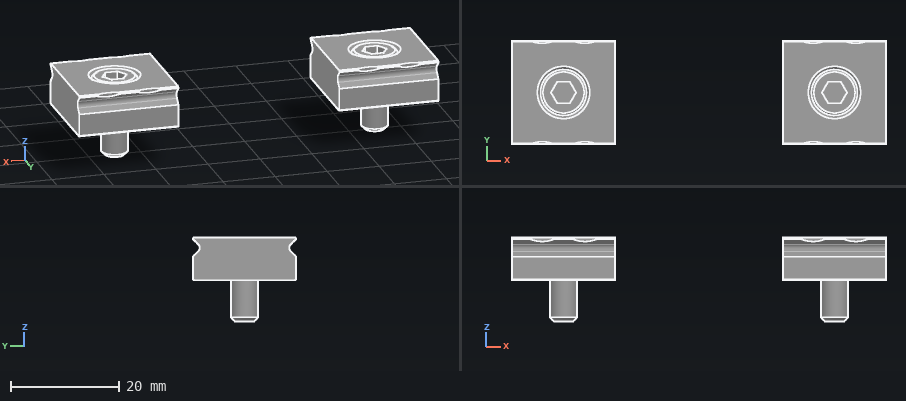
import cadquery as cq
import math

TOTAL_LENGTH = 69.05
TOTAL_HEIGHT = 15.55
BLOCK_SIDE = 19.05
BLOCK_HEIGHT = 7.95
BLOCK_PITCH = TOTAL_LENGTH - BLOCK_SIDE

EDGE_CHAMFER = 0.2
GROOVE_DEPTH = 1.25
GROOVE_DROP = 1.9
GROOVE_ROOT_RADIUS = 0.9
FLANK_ANGLE = math.radians(45)

NOTCH_RADIUS = 5.5
NOTCH_DEPTH = 0.45
NOTCH_SPACING = 7.9

SHANK_DIAMETER = 5.05
SHANK_LENGTH = TOTAL_HEIGHT - BLOCK_HEIGHT
TIP_CHAMFER = 0.75
HEAD_DIAMETER = 8.5
HEAD_CHAMFER = 0.45
HEAD_DROP = 0.15
SOCKET_ACROSS_FLATS = 4.0
SOCKET_DEPTH = 3.0


def make_block():
    """Square block standing on Z = 0, chamfered along its long X edges."""
    block = cq.Workplane("XY").box(
        BLOCK_SIDE, BLOCK_SIDE, BLOCK_HEIGHT, centered=(True, True, False)
    )
    return block.edges("|X").chamfer(EDGE_CHAMFER)


def make_side_groove():
    """Cutter for the V groove with a round root in the +Y side."""
    side = BLOCK_SIDE / 2
    root = side - GROOVE_DEPTH
    axis_z = BLOCK_HEIGHT - GROOVE_DROP
    tangent_y = root + GROOVE_ROOT_RADIUS * (1 - math.sin(FLANK_ANGLE))
    tangent_z = GROOVE_ROOT_RADIUS * math.cos(FLANK_ANGLE)
    mouth_z = tangent_z + (side - tangent_y) * math.tan(FLANK_ANGLE)
    return (
        cq.Workplane("YZ")
        .moveTo(side, axis_z - mouth_z)
        .lineTo(tangent_y, axis_z - tangent_z)
        .threePointArc((root, axis_z), (tangent_y, axis_z + tangent_z))
        .lineTo(side, axis_z + mouth_z)
        .close()
        .extrude(BLOCK_SIDE / 2, both=True)
    )


def make_lip_notch(center_x):
    """Upright round cutter for the lip on the +Y side, ending inside the groove."""
    axis_y = BLOCK_SIDE / 2 + NOTCH_RADIUS - NOTCH_DEPTH
    return (
        cq.Workplane("XY", origin=(center_x, axis_y, BLOCK_HEIGHT))
        .circle(NOTCH_RADIUS)
        .extrude(-GROOVE_DROP)
    )


def make_head_recess():
    """Disc cutter that leaves a sunken, chamfered head inside a countersunk rim."""
    head_radius = HEAD_DIAMETER / 2
    face_radius = head_radius - HEAD_CHAMFER
    face_z = BLOCK_HEIGHT - HEAD_DROP
    root_z = face_z - HEAD_CHAMFER
    rim_radius = head_radius + BLOCK_HEIGHT - root_z
    return (
        cq.Workplane("XZ")
        .moveTo(0, face_z)
        .lineTo(face_radius, face_z)
        .lineTo(head_radius, root_z)
        .lineTo(rim_radius, BLOCK_HEIGHT)
        .lineTo(0, BLOCK_HEIGHT)
        .close()
        .revolve(360, (0, 0, 0), (0, 1, 0))
    )


def make_socket():
    """Cutter for the hexagon socket, corners on the X axis."""
    across_corners = SOCKET_ACROSS_FLATS / math.cos(math.pi / 6)
    return (
        cq.Workplane("XY", origin=(0, 0, BLOCK_HEIGHT - HEAD_DROP))
        .polygon(6, across_corners)
        .extrude(-SOCKET_DEPTH)
    )


def make_shank():
    """Round shank below the block, chamfered at its tip."""
    shank = cq.Workplane("XY").circle(SHANK_DIAMETER / 2).extrude(-SHANK_LENGTH)
    return shank.faces("<Z").chamfer(TIP_CHAMFER)


def make_clamp():
    """One block with its screw head and shank, as a single solid."""
    clamp = make_block()
    side_cutters = [
        make_side_groove(),
        make_lip_notch(-NOTCH_SPACING / 2),
        make_lip_notch(NOTCH_SPACING / 2),
    ]
    for side_cutter in side_cutters:
        clamp = clamp.cut(side_cutter).cut(side_cutter.mirror("XZ"))
    clamp = clamp.cut(make_head_recess()).cut(make_socket())
    return clamp.union(make_shank())


clamps = []
for direction in (-1, 1):
    clamp = make_clamp().translate((direction * BLOCK_PITCH / 2, 0, 0))
    clamps.append(clamp.val())

result = cq.Compound.makeCompound(clamps)